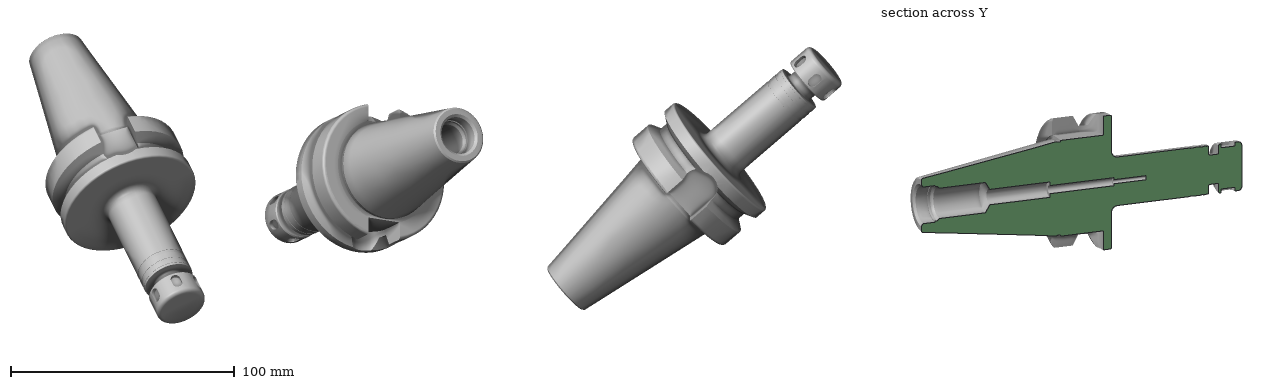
import cadquery as cq
import math

TOTAL_LENGTH = 155.4

GAUGE_X = 65.3
GAUGE_RADIUS = 22.2
TAPER_RATIO = 7 / 24
TAIL_RADIUS = GAUGE_RADIUS - GAUGE_X * TAPER_RATIO / 2
TAIL_CHAMFER = 0.6

NECK_RADIUS = 21.9
NECK_X = 66.2
RELIEF_RADIUS = 24.0
RELIEF_DEPTH = 0.5

FLANGE_X = 67.0
FLANGE_END_X = 92.3
FLANGE_RADIUS = 63.0 / 2
FLANGE_FRONT_ROUND = 1.4
FLANGE_REAR_ROUND = 1.0
GROOVE_START_X = 77.0
GROOVE_FLOOR_START_X = 79.7
GROOVE_FLOOR_END_X = 83.9
GROOVE_END_X = 86.7
GROOVE_FLOOR_RADIUS = 26.5

SLOT_WIDTH = 16.3
SLOT_FLOOR = 22.5
SLOT_END_X = 88.1

SHANK_RADIUS = 11.5
SHANK_END_X = 139.2
SHANK_FILLET = 2.8
SHANK_OVERLAP = 1.5
BAND_DEPTH = 0.2
BAND_WIDTH = 1.5
BAND_STARTS = (130.4, 135.0)
SHANK_LIP = 1.1

STEM_RADIUS = 7.0
STEM_FILLET = 0.8
NUT_X = 143.9
NUT_RADIUS = 11.5
NUT_REAR_CHAMFER = 0.5
NUT_FRONT_ROUND = 1.9
POCKET_COUNT = 6
POCKET_X = 148.5
POCKET_LENGTH = 6.7
POCKET_WIDTH = 4.4
POCKET_DEPTH = 1.7

MOUTH_RADIUS = 9.6
MOUTH_DEPTH = 1.0
PILOT_RADIUS = 17.0 / 2
PILOT_DEPTH = 6.5
THREAD_RADIUS = 16.0 / 2
THREAD_CORE_RADIUS = 7.0
THREAD_START = 7.8
THREAD_LEAD = 1.1
THREAD_DEPTH = 31.1
CONE_HALF_ANGLE = 59.0
COOLANT_RADIUS = 7.0 / 2
COOLANT_DEPTH = 62.2
FEED_RADIUS = 3.5 / 2
FEED_DEPTH = 93.2
JET_RADIUS = 1.7 / 2
JET_DEPTH = 108.8


def revolve_profile(profile):
    """Close an (X, radius) profile and turn it about the X axis."""
    return profile.close().revolve(360, (0, 0, 0), (1, 0, 0))


def make_taper_and_flange():
    profile = (
        cq.Workplane("XY")
        .moveTo(0, 0)
        .lineTo(0, TAIL_RADIUS - TAIL_CHAMFER)
        .lineTo(TAIL_CHAMFER, TAIL_RADIUS + TAIL_CHAMFER * TAPER_RATIO / 2)
        .lineTo(GAUGE_X, GAUGE_RADIUS)
        .lineTo(NECK_X, NECK_RADIUS)
        .lineTo(FLANGE_X + RELIEF_DEPTH, NECK_RADIUS)
        .lineTo(FLANGE_X + RELIEF_DEPTH, RELIEF_RADIUS)
        .lineTo(FLANGE_X, RELIEF_RADIUS)
        .lineTo(FLANGE_X, FLANGE_RADIUS - FLANGE_FRONT_ROUND)
        .radiusArc((FLANGE_X + FLANGE_FRONT_ROUND, FLANGE_RADIUS), FLANGE_FRONT_ROUND)
        .lineTo(GROOVE_START_X, FLANGE_RADIUS)
        .lineTo(GROOVE_FLOOR_START_X, GROOVE_FLOOR_RADIUS)
        .lineTo(GROOVE_FLOOR_END_X, GROOVE_FLOOR_RADIUS)
        .lineTo(GROOVE_END_X, FLANGE_RADIUS)
        .lineTo(FLANGE_END_X - FLANGE_REAR_ROUND, FLANGE_RADIUS)
        .radiusArc((FLANGE_END_X, FLANGE_RADIUS - FLANGE_REAR_ROUND), FLANGE_REAR_ROUND)
        .lineTo(FLANGE_END_X, 0)
    )
    return revolve_profile(profile)


def make_shank():
    profile = (
        cq.Workplane("XY")
        .moveTo(FLANGE_END_X - SHANK_OVERLAP, 0)
        .lineTo(FLANGE_END_X - SHANK_OVERLAP, SHANK_RADIUS + SHANK_FILLET)
        .lineTo(FLANGE_END_X, SHANK_RADIUS + SHANK_FILLET)
        .radiusArc((FLANGE_END_X + SHANK_FILLET, SHANK_RADIUS), -SHANK_FILLET)
    )
    for start in BAND_STARTS:
        profile = (
            profile.lineTo(start, SHANK_RADIUS)
            .lineTo(start, SHANK_RADIUS - BAND_DEPTH)
            .lineTo(start + BAND_WIDTH, SHANK_RADIUS - BAND_DEPTH)
            .lineTo(start + BAND_WIDTH, SHANK_RADIUS)
        )
    profile = (
        profile.lineTo(SHANK_END_X - SHANK_LIP, SHANK_RADIUS)
        .lineTo(SHANK_END_X - SHANK_LIP, SHANK_RADIUS - BAND_DEPTH)
        .lineTo(SHANK_END_X, SHANK_RADIUS - BAND_DEPTH)
        .lineTo(SHANK_END_X, STEM_RADIUS + STEM_FILLET)
        .radiusArc((SHANK_END_X + STEM_FILLET, STEM_RADIUS), -STEM_FILLET)
        .lineTo(NUT_X, STEM_RADIUS)
        .lineTo(NUT_X, 0)
    )
    return revolve_profile(profile)


def make_nut():
    profile = (
        cq.Workplane("XY")
        .moveTo(NUT_X, 0)
        .lineTo(NUT_X, NUT_RADIUS - NUT_REAR_CHAMFER)
        .lineTo(NUT_X + NUT_REAR_CHAMFER, NUT_RADIUS)
        .lineTo(TOTAL_LENGTH - NUT_FRONT_ROUND, NUT_RADIUS)
        .radiusArc((TOTAL_LENGTH, NUT_RADIUS - NUT_FRONT_ROUND), NUT_FRONT_ROUND)
        .lineTo(TOTAL_LENGTH, 0)
    )
    nut = revolve_profile(profile)
    pocket = (
        cq.Workplane("XY", origin=(POCKET_X, 0, NUT_RADIUS - POCKET_DEPTH))
        .slot2D(POCKET_LENGTH, POCKET_WIDTH)
        .extrude(2 * POCKET_DEPTH)
    )
    for index in range(POCKET_COUNT):
        nut = nut.cut(pocket.rotate((0, 0, 0), (1, 0, 0), index * 360 / POCKET_COUNT))
    return nut


def make_drive_slot():
    """Cutter for the +Z drive slot: parallel walls, flat floor, full-round end."""
    end_radius = SLOT_WIDTH / 2
    return (
        cq.Workplane("XY", origin=(0, 0, SLOT_FLOOR))
        .moveTo(GAUGE_X, -end_radius)
        .lineTo(SLOT_END_X - end_radius, -end_radius)
        .threePointArc((SLOT_END_X, 0), (SLOT_END_X - end_radius, end_radius))
        .lineTo(GAUGE_X, end_radius)
        .close()
        .extrude(FLANGE_RADIUS)
    )


def make_bore():
    """Stepped drawbar bore narrowing to a blind coolant jet hole."""
    cone_length = (THREAD_CORE_RADIUS - COOLANT_RADIUS) / math.tan(math.radians(CONE_HALF_ANGLE))
    profile = (
        cq.Workplane("XY")
        .moveTo(0, 0)
        .lineTo(0, MOUTH_RADIUS)
        .lineTo(MOUTH_DEPTH, PILOT_RADIUS)
        .lineTo(PILOT_DEPTH, PILOT_RADIUS)
        .lineTo(PILOT_DEPTH, THREAD_RADIUS)
        .lineTo(THREAD_START, THREAD_RADIUS)
        .lineTo(THREAD_START + THREAD_LEAD, THREAD_CORE_RADIUS)
        .lineTo(THREAD_DEPTH, THREAD_CORE_RADIUS)
        .lineTo(THREAD_DEPTH + cone_length, COOLANT_RADIUS)
        .lineTo(COOLANT_DEPTH, COOLANT_RADIUS)
        .lineTo(COOLANT_DEPTH, FEED_RADIUS)
        .lineTo(FEED_DEPTH, FEED_RADIUS)
        .lineTo(FEED_DEPTH, JET_RADIUS)
        .lineTo(JET_DEPTH, JET_RADIUS)
        .lineTo(JET_DEPTH, 0)
    )
    return revolve_profile(profile)


drive_slot = make_drive_slot()
result = make_taper_and_flange()
for angle in (0, 180):
    result = result.cut(drive_slot.rotate((0, 0, 0), (1, 0, 0), angle))
result = result.union(make_shank()).union(make_nut()).cut(make_bore())